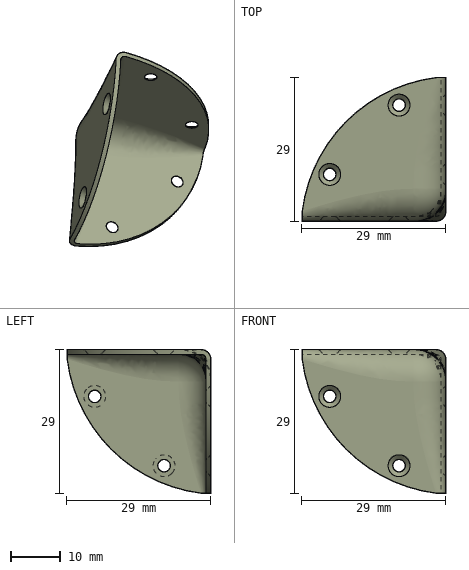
import cadquery as cq
import math

size = 29.0
wall = 1.0

corner_radius = 6.52
end_radius = 2.0
section_count = 9

arc_middle = 20.13

hole_far = 23.43
hole_near = 9.45
hole_diameter = 2.46
countersink_diameter = 4.4


def edge_radius(along):
    """Outer edge radius at a distance from the corner: level start, straight finish."""
    t = (along - corner_radius) / (size - corner_radius)
    drop = 1.5 * t**2 - 0.5 * t**3
    return corner_radius - (corner_radius - end_radius) * drop


def on_three_sides(shape):
    """Copies of a shape turned by thirds about the corner's body diagonal."""
    return [shape.rotate((0, 0, 0), (1, 1, 1), 120 * turn) for turn in range(3)]


def edge_waste(inset):
    """Material outside the rounding of the X edge, for faces set in from the outside."""
    wires = []
    for i in range(section_count):
        along = corner_radius + (size - corner_radius) * i / (section_count - 1)
        center = edge_radius(along)
        middle = center - (center - inset) * math.sqrt(0.5)
        corner = cq.Vector(along, inset, inset)
        start = cq.Vector(along, center, inset)
        bend = cq.Vector(along, middle, middle)
        finish = cq.Vector(along, inset, center)
        wires.append(cq.Wire.assembleEdges([
            cq.Edge.makeLine(corner, start),
            cq.Edge.makeThreePointArc(start, bend, finish),
            cq.Edge.makeLine(finish, corner),
        ]))
    return cq.Workplane(cq.Solid.makeLoft(wires))


def rounded_block(inset):
    """Block with a ball corner and three tapering round edges."""
    side = size - inset
    block = cq.Workplane().box(side, side, side, centered=False).translate((inset, inset, inset))
    for waste in on_three_sides(edge_waste(inset)):
        block = block.cut(waste)
    corner_side = corner_radius - inset
    corner_cube = (
        cq.Workplane()
        .box(corner_side, corner_side, corner_side, centered=False)
        .translate((inset, inset, inset))
    )
    ball = (
        cq.Workplane()
        .sphere(corner_side)
        .rotate((0, 0, 0), (1, 1, 0), -90)
        .translate((corner_radius,) * 3)
    )
    return block.cut(corner_cube.cut(ball))


def plate_waste():
    """Material outside the arc of the plate lying on the XY plane."""
    return (
        cq.Workplane()
        .moveTo(size, end_radius)
        .threePointArc((arc_middle, arc_middle), (end_radius, size))
        .lineTo(size, size)
        .close()
        .extrude(wall)
    )


def screw_hole(x, y):
    """Cone through the XY plate, widest at the outer face."""
    cone = cq.Solid.makeCone(countersink_diameter / 2, hole_diameter / 2, wall)
    return cq.Workplane(cone).translate((x, y, 0))


shell = rounded_block(0).cut(rounded_block(wall))
plate_cuts = [
    plate_waste(),
    screw_hole(hole_far, hole_near),
    screw_hole(hole_near, hole_far),
]
for plate_cut in plate_cuts:
    for waste in on_three_sides(plate_cut):
        shell = shell.cut(waste)

result = shell.rotate((0, 0, 0), (0, 1, 0), 180).translate((size, 0, size))